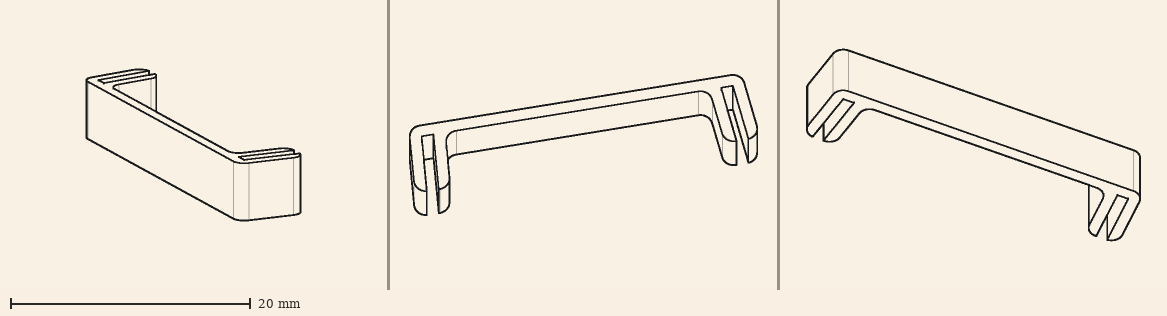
import cadquery as cq
import math

length = 29.05
width = 5.0
wall = width / 5
leg_height = 6 * wall
lean = math.radians(5)
round_radius = wall

leg_along_x = 3 * wall

outer_center_x = -length / 2 + round_radius
outer_center_y = leg_height - round_radius
outer_foot_x = outer_center_x - round_radius / math.cos(lean) + outer_center_y * math.tan(lean)


def leg_point(offset, y):
    """Point at height y in the left leg, offset along X from its outer face."""
    return (outer_foot_x + offset - y * math.tan(lean), y)


def make_left_half():
    """Base and solid left leg up to the middle plane, with its corners rounded."""
    outer_bend = leg_point(0, 0)
    outer_top = leg_point(0, leg_height)
    inner_top = leg_point(leg_along_x, leg_height)
    inner_bend = leg_point(leg_along_x, wall)
    outline = [(0, 0), outer_bend, outer_top, inner_top, inner_bend, (0, wall)]
    body = cq.Workplane("XY").polyline(outline).close().extrude(width)
    for x, y in (outer_bend, outer_top, inner_top, inner_bend):
        corner_edge = cq.selectors.NearestToPointSelector((x, y, width / 2))
        body = body.edges(corner_edge).fillet(round_radius)
    return body


def make_slot():
    """Leaning slot that splits the left leg into two prongs, open at the top."""
    slot_top = leg_height + wall
    outline = [
        leg_point(wall, wall),
        leg_point(2 * wall, wall),
        leg_point(2 * wall, slot_top),
        leg_point(wall, slot_top),
    ]
    return cq.Workplane("XY").polyline(outline).close().extrude(width)


left_half = make_left_half().cut(make_slot())
result = left_half.union(left_half.mirror("YZ")).clean()